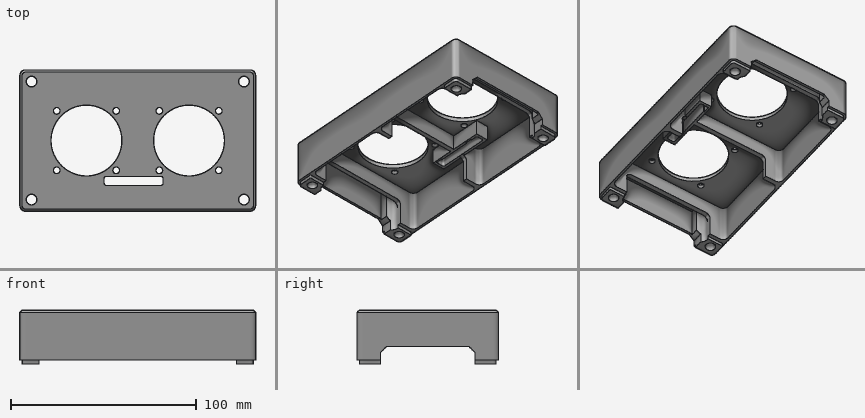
import cadquery as cq

length = 127.0
width = 76.2
height = 29.07
foot_height = 2.1
floor_z = 0.0
rim_z = floor_z + foot_height

corner_radius = 3.175
top_chamfer = 1.27
wall = 1.27
top_thickness = 2.54
ceiling_z = height - top_thickness
inner_length = length - 2 * wall
inner_width = width - 2 * wall
inner_radius = corner_radius - wall

opening_side_margin = 12.7
opening_half_width = width / 2 - opening_side_margin
opening_top_z = 9.4
opening_chamfer = 3.175

divider_thickness = 2.54
end_divider_inner_x = 51.1
end_divider_x = end_divider_inner_x + divider_thickness / 2
divider_opening_half_width = 27.3
divider_opening_top_z = 17.3
divider_opening_radius = 3.175
wall_blend_radius = 3.175

post_inset = 10.4
post_x = length / 2 - post_inset
post_arc_radius = 4.15
foot_edge_radius = 0.3

screw_diameter = 5.61
screw_inset = 6.35
fan_diameter = 38.0
fan_spacing = 55.2
fan_screw_diameter = 3.45
fan_screw_spacing = 32.0

slot_length = 31.55
slot_width = 4.7
slot_radius = 1.0
slot_x = -2.25
slot_y = -21.7
slot_wall = 1.5
slot_recess_length = 3.7
slot_recess_depth = 0.5

fan_centers = [(-fan_spacing / 2, 0), (fan_spacing / 2, 0)]


def mirror_to_four(shape):
    """Add the mirror images of a shape across the XZ and YZ planes."""
    pair = shape.union(shape.mirror("YZ"))
    return pair.union(pair.mirror("XZ"))


def make_shell():
    """Open-bottomed box with rounded corners and a chamfered top edge."""
    outer = (
        cq.Workplane("XY", origin=(0, 0, rim_z))
        .rect(length, width)
        .extrude(height - rim_z)
        .edges("|Z")
        .fillet(corner_radius)
        .faces(">Z")
        .chamfer(top_chamfer)
    )
    return outer.cut(inner_block(rim_z, ceiling_z))


def inner_block(bottom_z, top_z):
    """Block filling the inside of the walls between two heights."""
    return (
        cq.Workplane("XY", origin=(0, 0, bottom_z))
        .rect(inner_length, inner_width)
        .extrude(top_z - bottom_z)
        .edges("|Z")
        .fillet(inner_radius)
    )


def make_divider(center_x):
    """Divider across the box with a round-cornered opening below it."""
    divider = (
        cq.Workplane("XY", origin=(center_x, 0, rim_z))
        .rect(divider_thickness, inner_width)
        .extrude(ceiling_z - rim_z)
    )
    opening = (
        cq.Workplane("XY", origin=(center_x, 0, rim_z))
        .rect(2 * divider_thickness, 2 * divider_opening_half_width)
        .extrude(divider_opening_top_z - rim_z)
        .faces(">Z")
        .edges("|X")
        .fillet(divider_opening_radius)
    )
    return divider.cut(opening)


def make_wall_blend(side_x):
    """Concave blend between the +Y wall and the lower-X side of a divider."""
    wall_y = inner_width / 2
    return (
        cq.Workplane("XY", origin=(0, 0, rim_z))
        .moveTo(side_x - wall_blend_radius, wall_y)
        .radiusArc((side_x, wall_y - wall_blend_radius), wall_blend_radius)
        .lineTo(side_x, wall_y)
        .close()
        .extrude(ceiling_z - rim_z)
    )


def make_corner_post():
    """Screw post in the +X +Y corner with a concave arc facing the box."""
    arc_start_x = end_divider_inner_x + divider_thickness
    arc_end_x = arc_start_x + post_arc_radius
    arc_end_y = divider_opening_half_width - post_arc_radius
    post = (
        cq.Workplane("XY", origin=(0, 0, floor_z))
        .moveTo(post_x, divider_opening_half_width)
        .lineTo(arc_start_x, divider_opening_half_width)
        .radiusArc((arc_end_x, arc_end_y), post_arc_radius)
        .lineTo(inner_length / 2, arc_end_y)
        .lineTo(inner_length / 2, inner_width / 2)
        .lineTo(post_x, inner_width / 2)
        .close()
        .extrude(ceiling_z - floor_z)
        .edges(cq.selectors.NearestToPointSelector((post_x, inner_width / 2, height / 2)))
        .fillet(foot_edge_radius)
    )
    return post.intersect(inner_block(floor_z, ceiling_z))


def make_slot_wall():
    """Solid block under the top that the slot is cut through."""
    return (
        cq.Workplane("XY", origin=(slot_x, slot_y, divider_opening_top_z))
        .rect(slot_length + 2 * slot_wall, slot_width + 2 * slot_wall)
        .extrude(ceiling_z - divider_opening_top_z)
    )


def make_slot():
    """Cutter for the slot and the shallow recesses beside the two nearest fan screws."""
    slot = (
        cq.Workplane("XY", origin=(slot_x, slot_y, floor_z))
        .rect(slot_length, slot_width)
        .extrude(height)
        .edges("|Z")
        .fillet(slot_radius)
    )
    recess_x = (fan_spacing - fan_screw_spacing) / 2
    recesses = (
        cq.Workplane("XY", origin=(0, slot_y + slot_width / 2, divider_opening_top_z))
        .pushPoints([(-recess_x, 0), (recess_x, 0)])
        .rect(slot_recess_length, 2 * slot_recess_depth)
        .extrude(ceiling_z - divider_opening_top_z)
    )
    return slot.union(recesses)


def make_end_opening():
    """Cutter for the wide opening along X, with chamfered upper corners."""
    return (
        cq.Workplane("XY", origin=(0, 0, floor_z))
        .rect(length, 2 * opening_half_width)
        .extrude(opening_top_z - floor_z)
        .faces(">Z")
        .edges("|X")
        .chamfer(opening_chamfer)
    )


def make_top_holes():
    """Cutters for the screw holes, fan openings and fan screws."""
    base = cq.Workplane("XY", origin=(0, 0, floor_z))
    holes = (
        base.rect(length - 2 * screw_inset, width - 2 * screw_inset, forConstruction=True)
        .vertices()
        .circle(screw_diameter / 2)
        .extrude(height)
    )
    for center in fan_centers:
        fan = base.center(*center)
        holes = holes.union(fan.circle(fan_diameter / 2).extrude(height))
        holes = holes.union(
            fan.rect(fan_screw_spacing, fan_screw_spacing, forConstruction=True)
            .vertices()
            .circle(fan_screw_diameter / 2)
            .extrude(height)
        )
    return holes


corner = (
    make_corner_post()
    .union(make_wall_blend(end_divider_inner_x))
    .union(make_wall_blend(-divider_thickness / 2))
)

body = make_shell().union(mirror_to_four(corner)).union(make_slot_wall())
for divider_x in (-end_divider_x, 0, end_divider_x):
    body = body.union(make_divider(divider_x))

result = body.cut(make_end_opening()).cut(make_top_holes()).cut(make_slot())